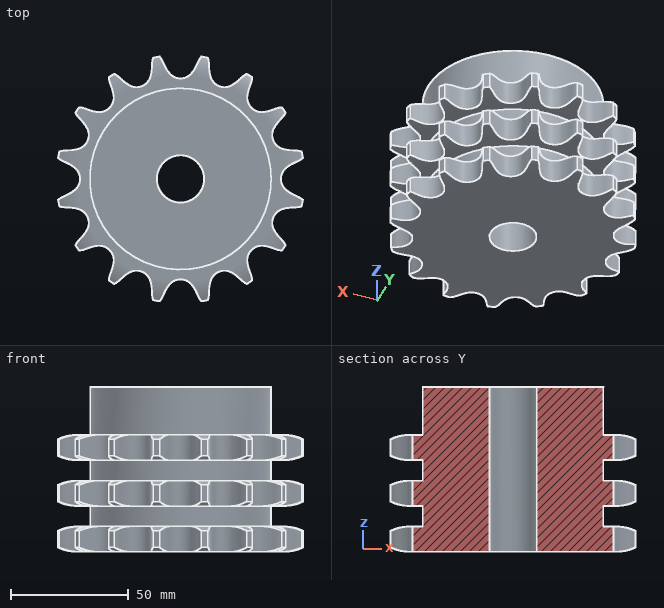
import cadquery as cq
import math


tooth_count = 16
pitch = 19.0
roller_diameter = 12.1
strand_count = 3
strand_spacing = 19.5

plate_thickness = 10.8
overall_width = 104.0
relief_start_radius = 44.2
relief_depth = 1.9

hub_diameter = 77.0
bore_diameter = 20.0
total_height = 70.0

half_tooth_angle = math.pi / tooth_count
pitch_radius = pitch / (2 * math.sin(half_tooth_angle))
seat_clearance_factor = 1.01
seat_radius = seat_clearance_factor * roller_diameter / 2
working_center_distance = 0.8 * roller_diameter
topping_center_distance = 1.4 * roller_diameter
working_radius = working_center_distance + seat_radius
seat_end_angle = math.radians(35 + 60 / tooth_count)
working_sweep = math.radians(18 - 56 / tooth_count)
flank_angle = seat_end_angle - working_sweep


def polar(center, radius, angle):
    """Point at the given radius and angle (radians) around a center."""
    return center[0] + radius * math.cos(angle), center[1] + radius * math.sin(angle)


def right_flank_points():
    """Points on the right half of a tooth gap centred on +Y, from root to tip."""
    roller_center = (0, pitch_radius)
    working_center = polar(roller_center, working_center_distance, math.pi - seat_end_angle)
    topping_center = polar(roller_center, topping_center_distance, -half_tooth_angle)

    root = (0, pitch_radius - seat_radius)
    seat_end = polar(roller_center, seat_radius, -seat_end_angle)
    working_mid = polar(working_center, working_radius, -seat_end_angle + working_sweep / 2)
    working_end = polar(working_center, working_radius, -flank_angle)

    offset_x = topping_center[0] - working_center[0]
    offset_y = topping_center[1] - working_center[1]
    center_gap = offset_x * math.cos(flank_angle) - offset_y * math.sin(flank_angle)
    topping_radius = center_gap - working_radius
    topping_start_angle = math.pi - flank_angle
    topping_start = polar(topping_center, topping_radius, topping_start_angle)

    corner_rise = overall_width / 2 - topping_center[1]
    topping_end_angle = math.pi - math.asin(corner_rise / topping_radius)
    topping_mid = polar(topping_center, topping_radius, (topping_start_angle + topping_end_angle) / 2)
    tip_corner = polar(topping_center, topping_radius, topping_end_angle)

    return [root, seat_end, working_mid, working_end, topping_start, topping_mid, tip_corner]


right_flank = right_flank_points()
tip_radius = math.hypot(*right_flank[-1])


def rotated(point, angle):
    """Point turned clockwise around the origin."""
    x, y = point
    return x * math.cos(angle) + y * math.sin(angle), y * math.cos(angle) - x * math.sin(angle)


def tooth_outline():
    """Closed outline of all teeth, drawn clockwise one gap at a time."""
    left_flank = [(-x, y) for x, y in right_flank]
    tip_mid = (tip_radius * math.sin(half_tooth_angle), tip_radius * math.cos(half_tooth_angle))

    outline = cq.Workplane("XY").moveTo(*left_flank[-1])
    for index in range(tooth_count):
        turn = 2 * half_tooth_angle * index
        left = [rotated(point, turn) for point in left_flank]
        right = [rotated(point, turn) for point in right_flank]
        _, left_seat_end, left_working_mid, left_working_end = left[:4]
        left_topping_start, left_topping_mid, _ = left[4:]
        root, right_seat_end, right_working_mid, right_working_end = right[:4]
        right_topping_start, right_topping_mid, right_corner = right[4:]
        next_corner = rotated(left_flank[-1], turn + 2 * half_tooth_angle)
        outline = (
            outline.threePointArc(left_topping_mid, left_topping_start)
            .lineTo(*left_working_end)
            .threePointArc(left_working_mid, left_seat_end)
            .threePointArc(root, right_seat_end)
            .threePointArc(right_working_mid, right_working_end)
            .lineTo(*right_topping_start)
            .threePointArc(right_topping_mid, right_corner)
            .threePointArc(rotated(tip_mid, turn), next_corner)
        )
    return outline.close()


def toothed_plate():
    """One toothed plate whose teeth thin toward the tip along arcs tangent to both faces."""
    relief_length = tip_radius - relief_start_radius
    relief_radius = (relief_length**2 + relief_depth**2) / (2 * relief_depth)
    mid_x = relief_start_radius + relief_length / 2
    mid_drop = relief_radius - math.sqrt(relief_radius**2 - (relief_length / 2) ** 2)
    blank = (
        cq.Workplane("XZ")
        .lineTo(relief_start_radius, 0)
        .threePointArc((mid_x, mid_drop), (tip_radius, relief_depth))
        .lineTo(tip_radius, plate_thickness - relief_depth)
        .threePointArc((mid_x, plate_thickness - mid_drop), (relief_start_radius, plate_thickness))
        .lineTo(0, plate_thickness)
        .close()
        .revolve(360, (0, 0), (0, 1))
    )
    return tooth_outline().extrude(plate_thickness).intersect(blank)


sprocket = cq.Workplane("XY").circle(hub_diameter / 2).extrude(total_height)
plate = toothed_plate()
for strand in range(strand_count):
    sprocket = sprocket.union(plate.translate((0, 0, strand * strand_spacing)))
bore = cq.Workplane("XY").circle(bore_diameter / 2).extrude(total_height)
result = sprocket.cut(bore)